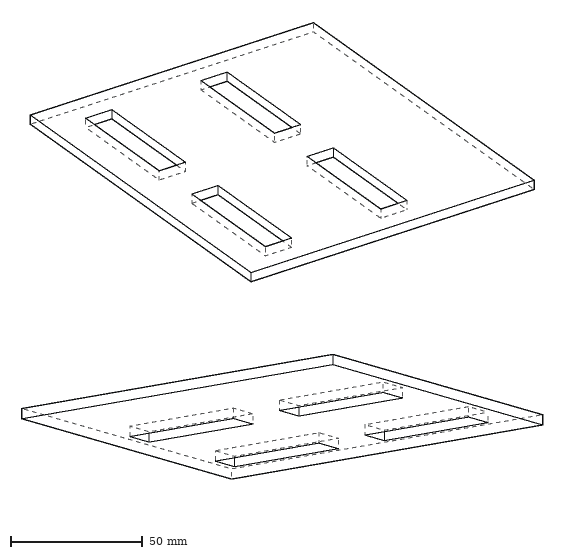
import cadquery as cq

plate_length = 150.0
plate_width = 130.0
plate_thickness = 4.0

window_length = 50.0
window_width = 12.0
side_margin = 14.0
front_margin = 16.0
row_pitch = 53.0

column_x = plate_length / 2 - side_margin - window_length / 2
front_row_y = -plate_width / 2 + front_margin + window_width / 2
back_row_y = front_row_y + row_pitch

window_centres = [(x, y) for x in (-column_x, column_x) for y in (front_row_y, back_row_y)]

plate = cq.Workplane("XY").box(plate_length, plate_width, plate_thickness)

windows = (
    cq.Workplane("XY")
    .pushPoints(window_centres)
    .box(window_length, window_width, plate_thickness)
)

result = plate.cut(windows)